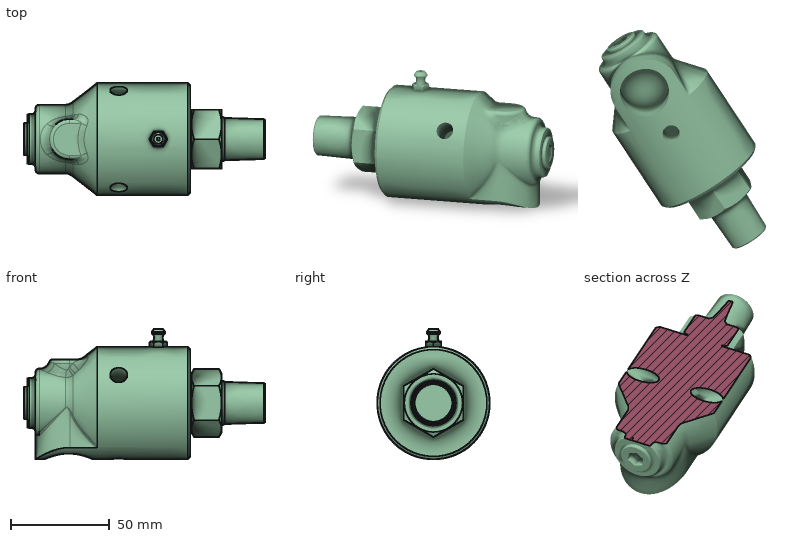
import cadquery as cq
import math

OVERALL_LENGTH = 122.2

BODY_RADIUS = 57 / 2
BODY_CHAMFER = 1.5
NECK_RADIUS = 17.45
NECK_FACE_X = 5.95
NECK_EDGE_RADIUS = 2.0
NECK_CORNER_X = 23.1
NECK_CONE_FILLET = 6.0
CONE_END_X = 37.25
CONE_SLOPE = (BODY_RADIUS - NECK_RADIUS) / (CONE_END_X - NECK_CORNER_X)
CONE_ANGLE = math.atan(CONE_SLOPE)
BODY_END_X = 84.35

CAP_RADIUS = 25.4 / 2
CAP_FACE_X = 1.85
CAP_ROOT_FILLET = 1.9
CAP_BEVEL_LENGTH = 0.9
CAP_BEVEL_DEPTH = 0.3
PLUG_RADIUS = 16.5 / 2
PLUG_CHAMFER = 0.4
SOCKET_FLATS = 8.0
SOCKET_DEPTH = 4.0
SOCKET_TILT = 6.0

PORT_BOSS_X = NECK_FACE_X + NECK_RADIUS
PORT_BOSS_FILLET = 1.0
PORT_X = 22.8
PORT_RADIUS = 12.4
PORT_DEPTH = 18.0

PAD_X = 23.0
PAD_RADIUS = 10.1
PAD_TOP_Z = 22.1
PAD_EDGE_RADIUS = 2.0
PAD_ROOT_RADIUS = 5.0

WRENCH_HOLE_RADIUS = 8.6 / 2
WRENCH_HOLE_X = 48.05
WRENCH_HOLE_DEPTH = 16.0
WRENCH_HOLE_ANGLES = (30, 150, 270)

HEX_FLATS = 29.9
HEX_START_X = 84.7
HEX_END_X = 100.2
HEX_CHAMFER_RUN = 1.5
HEX_END_RADIUS = 14.7
ROTOR_COLLAR_RADIUS = 14.0
PIPE_START_X = 101.6
PIPE_ROOT_RADIUS = 11.4
PIPE_LARGE_RADIUS = 10.78
PIPE_TAPER = 1 / 16
PIPE_CHAMFER = 0.7

FITTING_X = 68.1
FITTING_TOP_Z = 37.47
FITTING_HEX_FLATS = 7.9
FITTING_HEX_TOP_Z = 31.1
FITTING_BASE_SINK = 1.0
FITTING_HEX_CHAMFER = 0.7
FITTING_BASE_RADIUS = 2.8
FITTING_WAIST_RADIUS = 2.3
FITTING_WAIST_Z = 32.9
FITTING_HEAD_RADIUS = 3.4
FITTING_HEAD_LOW_Z = 35.2
FITTING_HEAD_HIGH_Z = 35.9
FITTING_TIP_RADIUS = 2.3
FITTING_NECK_TOP_RADIUS = 2.7
FITTING_NECK_TOP_Z = 34.7
FITTING_DIMPLE_RADIUS = 0.8
FITTING_DIMPLE_DEPTH = 0.8

EXCESS = 15.0


def turned_on_x(profile):
    """Revolve a closed (x, radius) half profile about the X axis."""
    return profile.close().revolve(360, (0, 0, 0), (1, 0, 0))


def corner_diameter(flats):
    return flats / math.cos(math.pi / 6)


def make_neck_and_cone():
    """Neck and cone, left overlong at both ends so that the fillets run out past the trim."""
    tangent_length = NECK_CONE_FILLET * math.tan(CONE_ANGLE / 2)
    cone_start_x = NECK_CORNER_X + tangent_length * math.cos(CONE_ANGLE)
    cone_start_radius = NECK_RADIUS + tangent_length * math.sin(CONE_ANGLE)
    start_x = NECK_FACE_X - EXCESS
    end_x = CONE_END_X + EXCESS
    profile = (
        cq.Workplane("XY")
        .moveTo(start_x, 0)
        .lineTo(start_x, NECK_RADIUS)
        .lineTo(NECK_CORNER_X - tangent_length, NECK_RADIUS)
        .tangentArcPoint((cone_start_x, cone_start_radius), relative=False)
        .lineTo(end_x, BODY_RADIUS + EXCESS * CONE_SLOPE)
        .lineTo(end_x, 0)
    )
    return turned_on_x(profile)


def round_nosed_block(nose_x, radius, end_x, height):
    """Block along +X with a half-round nose, extruded up or down from the spindle axis."""
    nose = cq.Workplane("XY").center(nose_x, 0).circle(radius).extrude(height)
    block = (
        cq.Workplane("XY")
        .center((nose_x + end_x) / 2, 0)
        .rect(end_x - nose_x, 2 * radius)
        .extrude(height)
    )
    return nose.union(block)


def make_port_boss():
    return round_nosed_block(PORT_BOSS_X, NECK_RADIUS, CONE_END_X, -(BODY_RADIUS + EXCESS))


def add_pad(head):
    """Join the pad to the top of the neck and blend its root into the neck and cone."""
    pad = round_nosed_block(PAD_X, PAD_RADIUS, CONE_END_X, PAD_TOP_Z)
    pad = pad.faces(">Z").edges("not >X").fillet(PAD_EDGE_RADIUS)
    above_neck_side = cq.selectors.BoxSelector(
        (NECK_FACE_X, -NECK_RADIUS, NECK_RADIUS / 2),
        (CONE_END_X, NECK_RADIUS, BODY_RADIUS),
    )
    root = head.union(pad).edges("%BSPLINE or %HYPERBOLA").edges(above_neck_side)
    return root.fillet(PAD_ROOT_RADIUS)


def add_port_boss(head):
    """Join the port boss below the neck and fillet its corner with the neck and cone."""
    below_neck = cq.selectors.BoxSelector(
        (NECK_CORNER_X, -BODY_RADIUS, -2 * BODY_RADIUS),
        (CONE_END_X + EXCESS, BODY_RADIUS, -PORT_BOSS_FILLET),
    )
    corner = head.union(make_port_boss()).edges("%HYPERBOLA").edges(below_neck)
    return corner.fillet(PORT_BOSS_FILLET)


def make_neck_edge_cutter():
    """Ring that rounds the front edge of the neck but spares the port boss."""
    ring = (
        cq.Workplane("XY")
        .moveTo(NECK_FACE_X - NECK_EDGE_RADIUS, NECK_RADIUS - NECK_EDGE_RADIUS)
        .lineTo(NECK_FACE_X, NECK_RADIUS - NECK_EDGE_RADIUS)
        .radiusArc((NECK_FACE_X + NECK_EDGE_RADIUS, NECK_RADIUS), NECK_EDGE_RADIUS)
        .lineTo(NECK_FACE_X + NECK_EDGE_RADIUS, NECK_RADIUS + NECK_EDGE_RADIUS)
        .lineTo(NECK_FACE_X - NECK_EDGE_RADIUS, NECK_RADIUS + NECK_EDGE_RADIUS)
    )
    return turned_on_x(ring).cut(make_port_boss())


def make_head():
    """Neck, cone, pad and port boss, trimmed to the neck face and the body cylinder."""
    head = add_port_boss(add_pad(make_neck_and_cone()))
    envelope = (
        cq.Workplane("YZ", origin=(NECK_FACE_X, 0, 0))
        .circle(BODY_RADIUS)
        .extrude(CONE_END_X - NECK_FACE_X)
    )
    return head.intersect(envelope).cut(make_neck_edge_cutter())


def make_main_cylinder():
    return (
        cq.Workplane("YZ", origin=(CONE_END_X, 0, 0))
        .circle(BODY_RADIUS)
        .extrude(BODY_END_X - CONE_END_X)
        .faces(">X")
        .chamfer(BODY_CHAMFER)
    )


def make_end_cap():
    """Bevelled cap with a concave root fillet, standing on the neck face."""
    profile = (
        cq.Workplane("XY")
        .moveTo(CAP_FACE_X, 0)
        .lineTo(CAP_FACE_X, CAP_RADIUS - CAP_BEVEL_DEPTH)
        .lineTo(CAP_FACE_X + CAP_BEVEL_LENGTH, CAP_RADIUS)
        .lineTo(NECK_FACE_X - CAP_ROOT_FILLET, CAP_RADIUS)
        .radiusArc((NECK_FACE_X, CAP_RADIUS + CAP_ROOT_FILLET), -CAP_ROOT_FILLET)
        .lineTo(NECK_FACE_X, 0)
    )
    return turned_on_x(profile)


def make_plug():
    return (
        cq.Workplane("YZ")
        .circle(PLUG_RADIUS)
        .extrude(CAP_FACE_X)
        .faces("<X")
        .chamfer(PLUG_CHAMFER)
    )


def make_plug_socket():
    """Hexagon socket, turned slightly from having a corner at the top."""
    return (
        cq.Workplane("YZ")
        .polygon(6, corner_diameter(SOCKET_FLATS))
        .extrude(SOCKET_DEPTH)
        .rotate((0, 0, 0), (1, 0, 0), 90 + SOCKET_TILT)
    )


def make_port():
    return (
        cq.Workplane("XY", origin=(PORT_X, 0, -BODY_RADIUS))
        .circle(PORT_RADIUS)
        .extrude(PORT_DEPTH)
    )


def make_wrench_hole(angle):
    """Blind radial hole; the angle is measured from +Y towards +Z."""
    return (
        cq.Workplane("XZ", origin=(WRENCH_HOLE_X, BODY_RADIUS, 0))
        .circle(WRENCH_HOLE_RADIUS)
        .extrude(WRENCH_HOLE_DEPTH)
        .rotate((0, 0, 0), (1, 0, 0), angle)
    )


def make_rotor_hexagon():
    """Hexagon with corners at +Z and -Z, coned off at both ends."""
    corner_radius = corner_diameter(HEX_FLATS) / 2
    hexagon = (
        cq.Workplane("YZ", origin=(HEX_START_X, 0, 0))
        .polygon(6, 2 * corner_radius)
        .extrude(HEX_END_X - HEX_START_X)
        .rotate((0, 0, 0), (1, 0, 0), 90)
    )
    coned_profile = (
        cq.Workplane("XY")
        .moveTo(HEX_START_X, 0)
        .lineTo(HEX_START_X, HEX_END_RADIUS)
        .lineTo(HEX_START_X + HEX_CHAMFER_RUN, corner_radius)
        .lineTo(HEX_END_X - HEX_CHAMFER_RUN, corner_radius)
        .lineTo(HEX_END_X, HEX_END_RADIUS)
        .lineTo(HEX_END_X, 0)
    )
    return hexagon.intersect(turned_on_x(coned_profile))


def make_rotor():
    """Collar, hexagon and tapered pipe end."""
    collar = (
        cq.Workplane("YZ", origin=(BODY_END_X, 0, 0))
        .circle(ROTOR_COLLAR_RADIUS)
        .extrude(HEX_START_X - BODY_END_X)
    )
    pipe_length = OVERALL_LENGTH - PIPE_CHAMFER - PIPE_START_X
    pipe_small_radius = PIPE_LARGE_RADIUS - pipe_length * PIPE_TAPER / 2
    pipe_profile = (
        cq.Workplane("XY")
        .moveTo(HEX_END_X, 0)
        .lineTo(HEX_END_X, PIPE_ROOT_RADIUS)
        .lineTo(PIPE_START_X, PIPE_LARGE_RADIUS)
        .lineTo(OVERALL_LENGTH - PIPE_CHAMFER, pipe_small_radius)
        .lineTo(OVERALL_LENGTH, pipe_small_radius - PIPE_CHAMFER)
        .lineTo(OVERALL_LENGTH, 0)
    )
    return collar.union(make_rotor_hexagon()).union(turned_on_x(pipe_profile))


def make_grease_fitting():
    """Hexagon base with a waisted, dimpled nipple."""
    base_z = BODY_RADIUS - FITTING_BASE_SINK
    corner_radius = corner_diameter(FITTING_HEX_FLATS) / 2
    hexagon = cq.Workplane("XY").workplane(offset=base_z)
    hexagon = hexagon.polygon(6, 2 * corner_radius).extrude(FITTING_HEX_TOP_Z - base_z)
    coned_profile = (
        cq.Workplane("XZ")
        .moveTo(0, base_z)
        .lineTo(corner_radius, base_z)
        .lineTo(corner_radius, FITTING_HEX_TOP_Z - FITTING_HEX_CHAMFER)
        .lineTo(corner_radius - FITTING_HEX_CHAMFER, FITTING_HEX_TOP_Z)
        .lineTo(0, FITTING_HEX_TOP_Z)
        .close()
        .revolve(360, (0, 0, 0), (0, 1, 0))
    )
    nipple = (
        cq.Workplane("XZ")
        .moveTo(0, FITTING_HEX_TOP_Z)
        .lineTo(FITTING_BASE_RADIUS, FITTING_HEX_TOP_Z)
        .threePointArc(
            (FITTING_WAIST_RADIUS, FITTING_WAIST_Z),
            (FITTING_NECK_TOP_RADIUS, FITTING_NECK_TOP_Z),
        )
        .lineTo(FITTING_HEAD_RADIUS, FITTING_HEAD_LOW_Z)
        .lineTo(FITTING_HEAD_RADIUS, FITTING_HEAD_HIGH_Z)
        .lineTo(FITTING_TIP_RADIUS, FITTING_TOP_Z)
        .lineTo(FITTING_DIMPLE_RADIUS, FITTING_TOP_Z)
        .lineTo(FITTING_DIMPLE_RADIUS, FITTING_TOP_Z - FITTING_DIMPLE_DEPTH)
        .lineTo(0, FITTING_TOP_Z - FITTING_DIMPLE_DEPTH)
        .close()
        .revolve(360, (0, 0, 0), (0, 1, 0))
    )
    return hexagon.intersect(coned_profile).union(nipple).translate((FITTING_X, 0, 0))


def make_union_joint():
    part = make_head().union(make_main_cylinder())
    for piece in (make_end_cap(), make_plug(), make_rotor(), make_grease_fitting()):
        part = part.union(piece)
    part = part.cut(make_plug_socket()).cut(make_port())
    for angle in WRENCH_HOLE_ANGLES:
        part = part.cut(make_wrench_hole(angle))
    return part


result = make_union_joint()